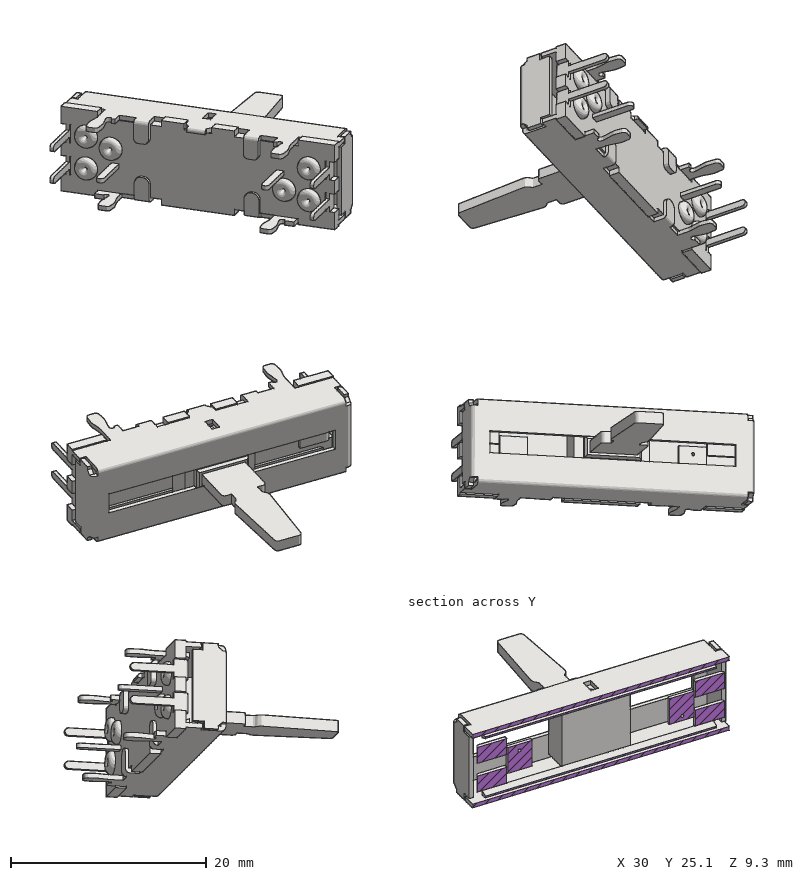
import cadquery as cq
import math


length = 30.0
base_width = 9.3
base_height = 1.15
base_notch_outer = 11.0
base_notch_inner = 4.0
centre_notch_half = 1.5

cover_half_width = 4.5
cover_top = 5.5
sheet = 0.5

flap_half_width = 3.75
flap_bottom = 1.88
wing_bottom_high = 3.07
wing_bottom_low = 2.93
wing_top = 4.55
wing_taper_width = 0.35
relief_gap = 0.18
relief_width = 0.25

lever_slot_length = 26.0
lever_slot_width = 2.3
window_width = 0.86
window_bottom = 2.5
window_top = 4.1

lever_tip = 20.5
lever_thickness = 1.2
lever_tip_half = 1.5
lever_wide_half = 1.98
lever_neck_half = lever_tip_half
lever_foot_half = 2.5
lever_foot_top = 10.5
lever_neck_top = 11.4
lever_waist = (1.67, 11.74)
lever_wide_y = 12.48
lever_corner = 0.4

collar_length = 6.0
collar_width = 2.2
collar_top = 5.8
collar_chamfer = 0.25

carriage_length = 8.0
carriage_half_width = 3.55
carriage_bottom = 2.2
nub_width = 0.72
nub_length = 1.3
nub_y = 3.2
nub_top = 3.75

hook_inner = 5.2
hook_outer = 6.83
hook_bend_radius = 0.5
link_outer = 8.7
link_bottom = 0.18

leg_neck_edge = {1: 10.6, -1: 8.38}
leg_shoulder_edge = {1: 8.66, -1: 10.92}
leg_end = {1: -4.04, -1: -3.88}
hook_reach = {1: 2.0, -1: 1.76}
hook_drop = {1: 0.55, -1: 0.35}
hook_corner = {1: 0.5, -1: 0.75}

shoulder_bottom = -1.0
neck_width = 0.97
leg_slot_width = 0.55
leg_bulge = 0.27
leg_bulge_y = -2.77
leg_tip_bulge = 0.2
leg_tip_radius = 0.4

centre_tab_half = 1.0
centre_tab_taper_top = 0.5
centre_tab_taper_bottom = -0.1
centre_tab_bottom = -0.55
centre_tab_rounding = 0.4

pin_end = -4.55
pin_tip_rounding = 0.98
rivet_outer_radius = 1.23
rivet_hole_radius = 0.15
rivet_height = 0.65

end_pin_outer = 14.45
end_pin_thickness = 0.4
end_pin_width = 0.8
end_pin_z = 1.75
terminal_width = 2.0
terminal_top = 1.55
terminal_inner = 11.0
end_notch_depth = 1.05
end_rivet_x = 12.2

middle_offset = 0.1
middle_pin_z = 0.9
middle_pin_inner = 8.62
middle_pin_outer = 9.44
middle_rivet_x = 9.5
middle_pin_thickness = 0.46
middle_plate_inner = 8.0
middle_plate_outer = 10.9
middle_plate_half_width = 1.6
middle_plate_top = 1.5

rib_half_length = 13.5
rib_inner_bottom = 3.5
rib_inner_top = 3.2

half_length = length / 2
inner_half_length = half_length - sheet
inner_half_width = cover_half_width - sheet
inner_top = cover_top - sheet
SIDES = (-1, 1)


def block(x1, x2, y1, y2, z1, z2):
    """Axis-aligned box between two opposite corners, given in any order."""
    size = (abs(x2 - x1), abs(y2 - y1), abs(z2 - z1))
    return cq.Workplane().box(*size).translate(((x1 + x2) / 2, (y1 + y2) / 2, (z1 + z2) / 2))


def side_sheet(outline, side):
    """Extrude an XY outline through the thickness of one long cover wall."""
    start = inner_half_width if side > 0 else -cover_half_width
    return outline.extrude(sheet).translate((0, 0, start))


def make_base():
    """Notched base plate with the two tapered ribs along its upper side."""
    half_width = base_width / 2
    half_terminal = terminal_width / 2
    base = block(-half_length, half_length, 0, base_height, -half_width, half_width)
    for sx in SIDES:
        for sz in SIDES:
            base = base.cut(block(sx * base_notch_inner, sx * base_notch_outer, 0, base_height,
                                  sz * inner_half_width, sz * half_width))
            base = base.cut(block(sx * (half_length - end_notch_depth), sx * half_length, 0, base_height,
                                  sz * end_pin_z - half_terminal, sz * end_pin_z + half_terminal))
    base = base.cut(block(-centre_notch_half, centre_notch_half, 0, base_height,
                          inner_half_width, half_width))
    for sz in SIDES:
        rib = (cq.Workplane("YZ")
               .polyline([(base_height, sz * flap_half_width), (flap_bottom, sz * flap_half_width),
                          (flap_bottom, sz * rib_inner_top), (base_height, sz * rib_inner_bottom)])
               .close().extrude(rib_half_length, both=True))
        base = base.union(rib)
    return base


def make_cover():
    """Hollow sheet cover with the lever slot, side window and bent end flaps."""
    cover = block(-half_length, half_length, base_height, cover_top, -cover_half_width, cover_half_width)
    cover = cover.faces(">Y").edges().fillet(sheet)
    cover = cover.cut(block(-inner_half_length, inner_half_length, base_height, inner_top,
                            -inner_half_width, inner_half_width))
    cover = cover.cut(block(-lever_slot_length / 2, lever_slot_length / 2, inner_top, cover_top,
                            -lever_slot_width / 2, lever_slot_width / 2))
    cover = cover.cut(block(-window_width / 2, window_width / 2, window_bottom, window_top,
                            inner_half_width, cover_half_width))
    for sx in SIDES:
        end = sx * half_length
        inner_end = sx * inner_half_length
        cover = cover.cut(block(inner_end, end, base_height, flap_bottom,
                                -inner_half_width, inner_half_width))
        for sz in SIDES:
            wall_in = sz * inner_half_width
            wall_out = sz * cover_half_width
            flap_edge = sz * flap_half_width
            relief_end = inner_end - sx * relief_width
            wing_bottom = wing_bottom_low if sx == sz else wing_bottom_high
            relief_bottom = wing_bottom - relief_gap
            cover = cover.cut(block(inner_end, end, base_height, wing_bottom, flap_edge, wall_in))
            cover = cover.cut(block(inner_end, end, relief_bottom, wing_bottom, wall_in, wall_out))
            cover = cover.cut(block(relief_end, inner_end, relief_bottom, cover_top, wall_in, wall_out))
            cover = cover.cut(block(relief_end, end, inner_top, cover_top, flap_edge, wall_out))
            corner = (cq.Workplane("YZ")
                      .polyline([(wing_top, wall_out), (cover_top, wall_out), (cover_top, flap_edge),
                                 (inner_top, flap_edge), (wing_top, wall_out - sz * wing_taper_width)])
                      .close().extrude(sx * sheet).translate((inner_end, 0, 0)))
            cover = cover.cut(corner)
    return cover


def make_leg(sx, sz):
    """Snap leg hanging from a long wall; a round-topped slot separates it from its shoulder."""
    neck_edge = leg_neck_edge[sz]
    shoulder_edge = leg_shoulder_edge[sz]
    end_y = leg_end[sz]
    inward = 1 if shoulder_edge > neck_edge else -1

    def at(u, y):
        return (sx * (neck_edge + inward * u), y)

    slot_end = neck_width + leg_slot_width
    slot_top = shoulder_bottom + leg_slot_width / 2
    shoulder = abs(shoulder_edge - neck_edge)
    tip_y = end_y + leg_tip_radius
    tip_start = leg_tip_radius - leg_tip_bulge
    arc_offset = leg_tip_radius * (1 - math.sqrt(0.5))
    arc_u = arc_offset - leg_tip_bulge
    arc_y = end_y + arc_offset
    down = (0, -1)
    up = (0, 1)
    outline = (cq.Workplane()
               .moveTo(*at(0, base_height))
               .lineTo(*at(0, shoulder_bottom))
               .spline([at(-leg_bulge, leg_bulge_y)], tangents=[down, down], includeCurrent=True)
               .lineTo(*at(-leg_tip_bulge, tip_y))
               .threePointArc(at(arc_u, arc_y), at(tip_start, end_y))
               .lineTo(*at(neck_width - tip_start, end_y))
               .threePointArc(at(neck_width - arc_u, arc_y), at(neck_width + leg_tip_bulge, tip_y))
               .lineTo(*at(neck_width + leg_bulge, leg_bulge_y))
               .spline([at(neck_width, shoulder_bottom)], tangents=[up, up], includeCurrent=True)
               .threePointArc(at(neck_width + leg_slot_width / 2, slot_top), at(slot_end, shoulder_bottom))
               .lineTo(*at(shoulder, shoulder_bottom))
               .lineTo(*at(shoulder, base_height))
               .close())
    return side_sheet(outline, sz)


def make_hook(sx, sz):
    """Wall tab folded under the base, with the strip of wall that links it to the leg."""
    drop = hook_drop[sz]
    foot = block(sx * hook_inner, sx * hook_outer, -drop, 0, sz * hook_reach[sz], sz * cover_half_width)
    free_end = ">Z" if sz < 0 else "<Z"
    bend = "<Z" if sz < 0 else ">Z"
    foot = foot.faces(free_end).edges("|Y").fillet(hook_corner[sz])
    wall = block(sx * hook_inner, sx * hook_outer, -drop, base_height,
                 sz * inner_half_width, sz * cover_half_width)
    hook = foot.union(wall).clean().faces("<Y").edges(bend).fillet(hook_bend_radius)
    link = block(sx * hook_outer, sx * link_outer, link_bottom, base_height,
                 sz * inner_half_width, sz * cover_half_width)
    return hook.union(link)


def make_centre_tab():
    """Tapered tab of the +Z wall in the centre notch of the base."""
    outline = (cq.Workplane()
               .polyline([(-centre_notch_half, base_height), (-centre_notch_half, centre_tab_taper_top),
                          (-centre_tab_half, centre_tab_taper_bottom), (-centre_tab_half, centre_tab_bottom),
                          (centre_tab_half, centre_tab_bottom), (centre_tab_half, centre_tab_taper_bottom),
                          (centre_notch_half, centre_tab_taper_top), (centre_notch_half, base_height)])
               .close())
    return side_sheet(outline, 1).faces("<Y").edges(">Z").fillet(centre_tab_rounding)


def make_lever():
    """Flat lever with its collar in the slot and the carriage inside the cover."""
    waist_x, waist_y = lever_waist
    half = (cq.Workplane()
            .moveTo(0, carriage_bottom)
            .lineTo(lever_foot_half, carriage_bottom)
            .lineTo(lever_foot_half, lever_foot_top)
            .lineTo(lever_neck_half, lever_foot_top)
            .lineTo(lever_neck_half, lever_neck_top)
            .tangentArcPoint((waist_x, waist_y), relative=False)
            .tangentArcPoint((lever_wide_half, lever_wide_y), relative=False)
            .lineTo(lever_tip_half, lever_tip)
            .lineTo(0, lever_tip)
            .close()
            .extrude(lever_thickness / 2, both=True))
    half = half.edges("|Z").edges(cq.selectors.NearestToPointSelector((lever_foot_half, lever_foot_top, 0)))
    half = half.fillet(lever_corner)
    lever = half.union(half.mirror("YZ"))
    lever = lever.faces(">Y").edges("|Z").fillet(lever_corner)
    collar = block(-collar_length / 2, collar_length / 2, inner_top, collar_top,
                   -collar_width / 2, collar_width / 2)
    collar = collar.faces(">Y").edges().chamfer(collar_chamfer)
    carriage = block(-carriage_length / 2, carriage_length / 2, carriage_bottom, inner_top,
                     -carriage_half_width, carriage_half_width)
    nub = (cq.Workplane()
           .center(0, nub_y)
           .slot2D(nub_length, nub_width, 90)
           .extrude(nub_top))
    return lever.union(collar).union(carriage).union(nub)


def make_rivet(x, z):
    """Ring-shaped rivet head under the base."""
    tube = (rivet_outer_radius - rivet_hole_radius) / 2
    tube_centre = rivet_hole_radius + tube
    round_start = tube - rivet_height
    ring = (cq.Workplane()
            .moveTo(rivet_hole_radius, 0)
            .lineTo(rivet_hole_radius, round_start)
            .threePointArc((tube_centre, -rivet_height), (rivet_outer_radius, round_start))
            .lineTo(rivet_outer_radius, 0)
            .close()
            .revolve(360, (0, 0), (0, 1)))
    return ring.translate((x, 0, z))


def make_end_terminal(sx, sz):
    """Strip on the base, bent down through the end notch and narrowed to a pin."""
    z = sz * end_pin_z
    inner_face = end_pin_outer - end_pin_thickness
    half = terminal_width / 2
    strip = block(sx * terminal_inner, sx * end_pin_outer, base_height, terminal_top, z - half, z + half)
    tab = block(sx * inner_face, sx * end_pin_outer, 0, terminal_top, z - half, z + half)
    body = strip.union(tab).faces(">Y").edges(">X" if sx > 0 else "<X").fillet(end_pin_thickness)
    pin = block(sx * inner_face, sx * end_pin_outer, pin_end, base_height,
                z - end_pin_width / 2, z + end_pin_width / 2)
    pin = pin.faces("<Y").edges("|X").fillet(pin_tip_rounding * end_pin_width / 2)
    return body.union(pin)


def make_middle_terminal(sx):
    """Contact plate on the base with a flat pin through it."""
    z = sx * middle_pin_z - middle_offset
    half = middle_pin_thickness / 2
    pin = block(sx * middle_pin_inner, sx * middle_pin_outer, pin_end, base_height, z - half, z + half)
    tip_radius = pin_tip_rounding * (middle_pin_outer - middle_pin_inner) / 2
    pin = pin.faces("<Y").edges("|Z").fillet(tip_radius)
    plate = block(sx * middle_plate_inner, sx * middle_plate_outer, base_height, middle_plate_top,
                  -middle_plate_half_width, middle_plate_half_width)
    return pin.union(plate)


def rivet_hole(x, z, top):
    """Cutting pin from the mounting face up to the given height."""
    return cq.Workplane("XZ").center(x, z).circle(rivet_hole_radius).extrude(-top)


result = make_base().union(make_cover()).union(make_lever()).union(make_centre_tab())
for sx in SIDES:
    for sz in SIDES:
        result = result.union(make_leg(sx, sz)).union(make_hook(sx, sz)).union(make_end_terminal(sx, sz))
        result = result.union(make_rivet(sx * end_rivet_x, sz * end_pin_z))
        result = result.cut(rivet_hole(sx * end_rivet_x, sz * end_pin_z, base_height))
    result = result.union(make_middle_terminal(sx))
    middle_rivet_z = -sx * middle_pin_z - middle_offset
    result = result.union(make_rivet(sx * middle_rivet_x, middle_rivet_z))
    result = result.cut(rivet_hole(sx * middle_rivet_x, middle_rivet_z, cover_top))